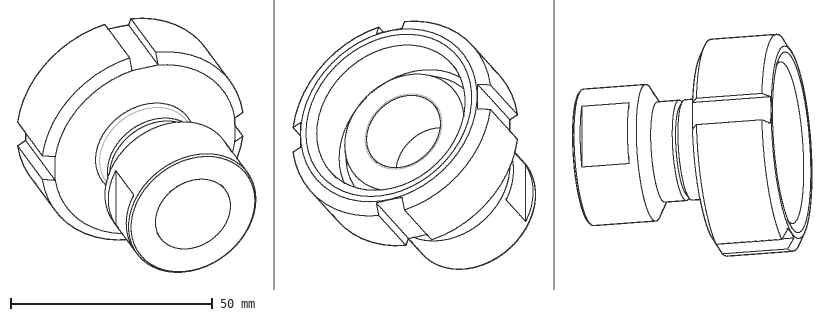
import cadquery as cq
import math

NUT_DIAMETER = 53.95
NUT_LENGTH = 19.95
NUT_CHAMFER_ANGLE = math.radians(30)
FRONT_CHAMFER_LENGTH = 1.75
BACK_CHAMFER_LENGTH = 1.6
MOUTH_DIAMETER = 44.9
MOUTH_CHAMFER_LENGTH = 1.3
THREAD_DIAMETER = 40.2
COLLAR_FRONT_X = 15.0
COLLAR_BACK_X = 17.15
HUB_DIAMETER = 26.45
SLOT_WIDTH = 6.95
SLOT_FLOOR_RADIUS = 24.0
SLOT_COUNT = 4

BORE_DIAMETER = 20.0
RIM_X = 9.0
RIM_DIAMETER = 20.85
FACE_DROP = 0.55
FACE_DIAMETER = 32.35
CONE_BASE_DIAMETER = 36.5
NECK_DIAMETER = 25.0
NECK_FILLET_RADIUS = 0.95
JOINT_X = 27.0
JOINT_DIAMETER = 22.65
LINER_CHAMFER_LENGTH = 0.85

ADAPTER_CHAMFER_LENGTH = 0.6
SHOULDER_START_X = 33.05
SHOULDER_END_X = 35.7
ADAPTER_DIAMETER = 34.0
ADAPTER_END_X = 52.0
END_CHAMFER = 0.5
FLAT_START_X = 37.95
FLAT_END_X = 49.95
FLAT_SPACING = 30.0

NUT_RADIUS = NUT_DIAMETER / 2
THREAD_RADIUS = THREAD_DIAMETER / 2
HUB_RADIUS = HUB_DIAMETER / 2
BORE_RADIUS = BORE_DIAMETER / 2
NECK_RADIUS = NECK_DIAMETER / 2
JOINT_RADIUS = JOINT_DIAMETER / 2
ADAPTER_RADIUS = ADAPTER_DIAMETER / 2


def turn(profile):
    """Revolve a closed half profile, drawn as (x, radius), about the X axis."""
    return profile.close().revolve(360, (0, 0, 0), (1, 0, 0))


def make_nut():
    mouth_radius = MOUTH_DIAMETER / 2
    front_radius = NUT_RADIUS - FRONT_CHAMFER_LENGTH / math.tan(NUT_CHAMFER_ANGLE)
    back_radius = NUT_RADIUS - BACK_CHAMFER_LENGTH / math.tan(NUT_CHAMFER_ANGLE)
    nut = turn(cq.Workplane("XY").polyline([
        (0, mouth_radius),
        (0, front_radius),
        (FRONT_CHAMFER_LENGTH, NUT_RADIUS),
        (NUT_LENGTH - BACK_CHAMFER_LENGTH, NUT_RADIUS),
        (NUT_LENGTH, back_radius),
        (NUT_LENGTH, HUB_RADIUS),
        (COLLAR_BACK_X, HUB_RADIUS),
        (COLLAR_BACK_X, THREAD_RADIUS),
        (MOUTH_CHAMFER_LENGTH, THREAD_RADIUS),
    ]))
    for index in range(SLOT_COUNT):
        slot = (
            cq.Workplane("XY")
            .box(NUT_LENGTH, SLOT_WIDTH, NUT_RADIUS, centered=(False, True, False))
            .translate((0, 0, SLOT_FLOOR_RADIUS))
            .rotate((0, 0, 0), (1, 0, 0), index * 360 / SLOT_COUNT)
        )
        nut = nut.cut(slot)
    return nut


def make_liner():
    fillet_rise = HUB_RADIUS - NECK_RADIUS
    fillet_sweep = math.acos(1 - fillet_rise / NECK_FILLET_RADIUS)
    fillet_end_x = NUT_LENGTH + NECK_FILLET_RADIUS * math.sin(fillet_sweep)
    fillet_middle = (
        fillet_end_x - NECK_FILLET_RADIUS * math.sin(fillet_sweep / 2),
        NECK_RADIUS + NECK_FILLET_RADIUS * (1 - math.cos(fillet_sweep / 2)),
    )
    return turn(
        cq.Workplane("XY")
        .moveTo(RIM_X, BORE_RADIUS)
        .lineTo(RIM_X, RIM_DIAMETER / 2)
        .lineTo(RIM_X + FACE_DROP, FACE_DIAMETER / 2)
        .lineTo(COLLAR_FRONT_X, CONE_BASE_DIAMETER / 2)
        .lineTo(COLLAR_FRONT_X, THREAD_RADIUS)
        .lineTo(COLLAR_BACK_X, THREAD_RADIUS)
        .lineTo(COLLAR_BACK_X, HUB_RADIUS)
        .lineTo(NUT_LENGTH, HUB_RADIUS)
        .threePointArc(fillet_middle, (fillet_end_x, NECK_RADIUS))
        .lineTo(JOINT_X - LINER_CHAMFER_LENGTH, NECK_RADIUS)
        .lineTo(JOINT_X, JOINT_RADIUS)
        .lineTo(JOINT_X, BORE_RADIUS)
    )


def make_adapter():
    adapter = turn(cq.Workplane("XY").polyline([
        (JOINT_X, BORE_RADIUS),
        (JOINT_X, JOINT_RADIUS),
        (JOINT_X + ADAPTER_CHAMFER_LENGTH, NECK_RADIUS),
        (SHOULDER_START_X, NECK_RADIUS),
        (SHOULDER_END_X, ADAPTER_RADIUS),
        (ADAPTER_END_X - END_CHAMFER, ADAPTER_RADIUS),
        (ADAPTER_END_X, ADAPTER_RADIUS - END_CHAMFER),
        (ADAPTER_END_X, BORE_RADIUS),
    ]))
    for side in (-1, 1):
        flat_cutter = (
            cq.Workplane("XY")
            .box(FLAT_END_X - FLAT_START_X, ADAPTER_RADIUS, ADAPTER_DIAMETER, centered=(False, True, True))
            .translate((FLAT_START_X, side * (FLAT_SPACING + ADAPTER_RADIUS) / 2, 0))
        )
        adapter = adapter.cut(flat_cutter)
    return adapter


nut = make_nut()
liner = make_liner()
adapter = make_adapter()
result = cq.Compound.makeCompound([nut.val(), liner.val(), adapter.val()])